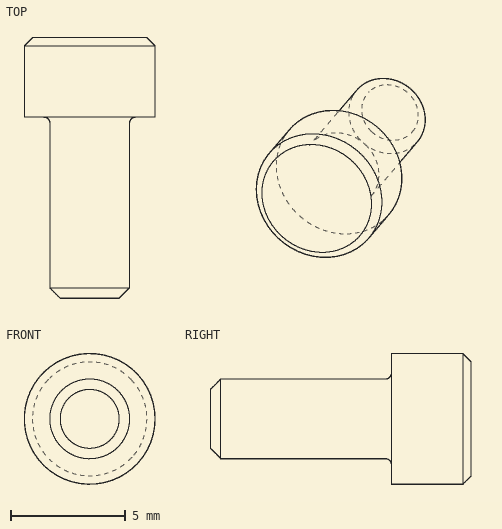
import cadquery as cq

total_length = 11.44
head_diameter = 5.74
shank_diameter = 3.5
head_height = shank_diameter
head_chamfer = 0.37
tip_chamfer = 0.46
neck_fillet = 0.26

shank_length = total_length - head_height


def cylinder_along_y(diameter, start_y, end_y):
    """Solid cylinder on the Y axis between two Y positions."""
    return (
        cq.Workplane("XZ", origin=(0, end_y, 0))
        .circle(diameter / 2)
        .extrude(end_y - start_y)
    )


head = cylinder_along_y(head_diameter, 0, head_height).faces(">Y").edges().chamfer(head_chamfer)

shank = cylinder_along_y(shank_diameter, -shank_length, 0).faces("<Y").edges().chamfer(tip_chamfer)

screw = head.union(shank)
neck_edge = cq.selectors.RadiusNthSelector(1)
result = screw.edges("%CIRCLE").edges(neck_edge).edges(">Y").fillet(neck_fillet)